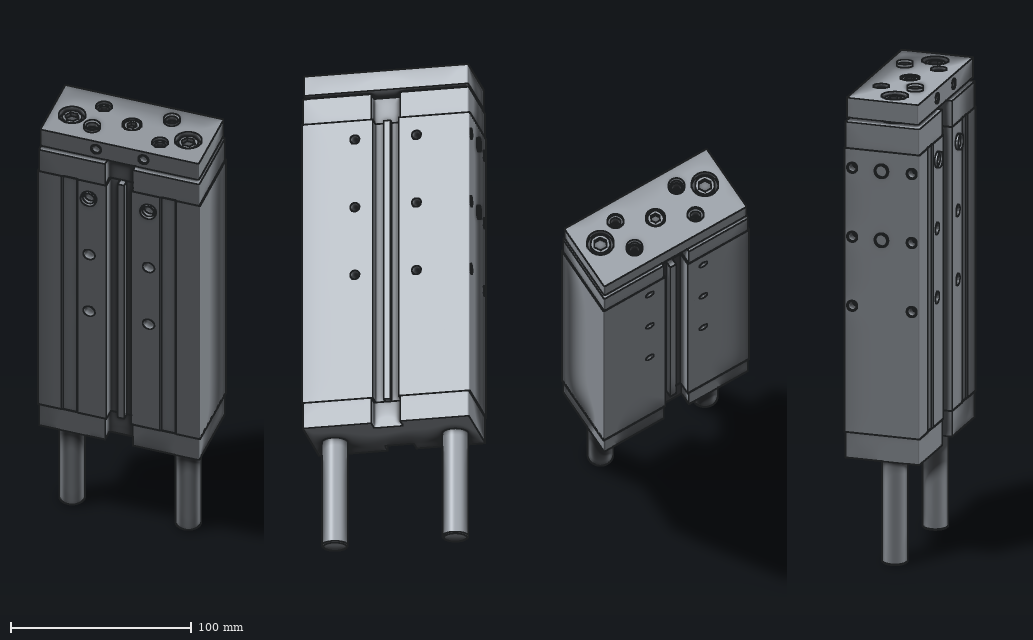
import cadquery as cq
import math

rod_tip_z = 0.0
lower_cap_z = 62.0
cap_height = 15.0
housing_length = 165.0
yoke_gap = 2.5
yoke_height = 11.5
yoke_sleeve_projection = 2.0
housing_bottom_z = lower_cap_z + cap_height
housing_top_z = housing_bottom_z + housing_length
cap_top_z = housing_top_z + cap_height
yoke_bottom_z = cap_top_z + yoke_gap
yoke_top_z = yoke_bottom_z + yoke_height

housing_width = 95.2
housing_depth = 44.2
housing_edge_radius = 0.5
channel_width = 14.7
channel_depth = 7.6
channel_corner_radius = 0.8
rib_width = 3.8
rib_height = 4.0
groove_center_x = 29.0
groove_mouth_width = 9.5
groove_floor_width = 8.0
groove_depth = 0.8

cap_width = 94.0
cap_depth = 43.6
cap_channel_width = 16.5
cap_channel_depth = 7.6
cap_channel_corner_radius = 0.8
cap_edge_radius = 0.8

yoke_width = 93.0
yoke_depth = 42.0
yoke_edge_radius = 0.8

guide_spacing = 68.2
guide_y = -3.0
guide_diameter = 14.5
guide_tip_chamfer = 0.8
piston_diameter = 10.0
piston_foot_z = housing_top_z

guide_seat_diameter = 15.0
guide_seat_depth = 4.0
guide_head_diameter = 11.0
guide_head_height = 2.7
guide_socket_flats = 6.8
piston_seat_diameter = 11.0
piston_seat_depth = 1.6
piston_head_diameter = 9.0
piston_head_height = 1.0
piston_socket_flats = 5.0
socket_depth = 2.5

front_sleeve_projection = 1.6
sleeve_outer_diameter = 9.0
sleeve_inner_diameter = 6.8
sleeve_wall = (sleeve_outer_diameter - sleeve_inner_diameter) / 2
sleeve_seat_depth = 2.2
thread_depth = 8.2
housing_thread_diameter = 6.8
housing_core_diameter = 5.2
yoke_thread_diameter = 6.0
yoke_core_diameter = 5.0
front_hole_spacing = 35.0
yoke_hole_spacing_x = 39.8
yoke_hole_spacing_y = 20.0

top_row_z = 230.8
row_pitch = 40.0
row_heights = [top_row_z - row * row_pitch for row in range(3)]

side_hole_spacing = 35.0
yoke_front_hole_spacing = 27.8
blind_mouth_diameter = 6.0
blind_core_diameter = 5.0
blind_mouth_depth = 0.5
blind_depth = 8.2
drill_point_angle = 118.0

plug_diameter = 8.0
plug_projection = 1.0
plug_insertion = 4.0
plug_socket_diameter = 6.8
plug_socket_depth = 0.8

X_AXIS = cq.Vector(1, 0, 0)
Y_AXIS = cq.Vector(0, 1, 0)
UP = cq.Vector(0, 0, 1)
DOWN = -UP


def rod(start, direction, diameter, length):
    """Cylinder that runs from a start point along a direction."""
    return cq.Workplane(obj=cq.Solid.makeCylinder(diameter / 2, length, cq.Vector(*start), direction))


def blind_hole(start, direction):
    """Cutter for a drilled hole with a wider mouth and a conical end."""
    mouth = rod(start, direction, blind_mouth_diameter, blind_mouth_depth)
    core = rod(start, direction, blind_core_diameter, blind_depth)
    core_radius = blind_core_diameter / 2
    point_length = core_radius / math.tan(math.radians(drill_point_angle / 2))
    point_start = cq.Vector(*start) + direction * blind_depth
    point = cq.Solid.makeCone(core_radius, 0, point_length, point_start, direction)
    return mouth.union(core).union(cq.Workplane(obj=point))


def block(width, depth, bottom_z, height):
    """Box centred on the Z axis."""
    return (
        cq.Workplane("XY", origin=(0, 0, bottom_z))
        .box(width, depth, height, centered=(True, True, False))
    )


def face_block(width, reach, face_y, bottom_z, height):
    """Block centred on a face, so that it reaches equally far to both sides of it."""
    return block(width, 2 * reach, bottom_z, height).translate((0, face_y, 0))


def channel_cutter(width, depth, corner_radius, face_y, bottom_z, height):
    """Upright channel cutter with rounded floor corners."""
    cutter = face_block(width, depth, face_y, bottom_z, height)
    return cutter.edges("|Z").fillet(corner_radius)


def groove_cutter(center_x):
    """Cutter for a shallow front groove with sloping walls."""
    front_y = -housing_depth / 2
    floor_y = front_y + groove_depth
    return (
        cq.Workplane("XY", origin=(center_x, 0, housing_bottom_z))
        .moveTo(-groove_mouth_width / 2, front_y)
        .lineTo(groove_mouth_width / 2, front_y)
        .lineTo(groove_floor_width / 2, floor_y)
        .lineTo(-groove_floor_width / 2, floor_y)
        .close()
        .extrude(housing_length)
    )


def make_housing():
    front_y = -housing_depth / 2
    body = block(housing_width, housing_depth, housing_bottom_z, housing_length)
    body = body.edges("|Z").fillet(housing_edge_radius)

    for side in (-1, 1):
        channel = channel_cutter(channel_width, channel_depth, channel_corner_radius,
                                 side * housing_depth / 2, housing_bottom_z, housing_length)
        rib_y = side * (housing_depth / 2 - channel_depth)
        rib = face_block(rib_width, rib_height, rib_y, housing_bottom_z, housing_length)
        body = body.cut(channel.cut(rib))

    for center_x in (-groove_center_x, groove_center_x):
        body = body.cut(groove_cutter(center_x))

    for x in (-front_hole_spacing / 2, front_hole_spacing / 2):
        for z in row_heights:
            body = body.cut(rod((x, front_y, z), Y_AXIS, housing_core_diameter, housing_depth))
            body = body.cut(rod((x, front_y, z), Y_AXIS, housing_thread_diameter, thread_depth))
        body = body.cut(rod((x, front_y, top_row_z), Y_AXIS, sleeve_outer_diameter, sleeve_seat_depth))

    side_x = -housing_width / 2
    for z in row_heights:
        for y in (-side_hole_spacing / 2, side_hole_spacing / 2):
            body = body.cut(blind_hole((side_x, y, z), X_AXIS))
    for z in row_heights[:2]:
        body = body.cut(rod((side_x, 0, z), X_AXIS, plug_diameter, plug_insertion))

    return body.cut(rod_clearance())


def rod_clearance():
    """Cutter for the bores in which the guide rods and the piston rod run."""
    return guide_rods().union(piston_rod())


def guide_rods():
    length = yoke_bottom_z - rod_tip_z
    centers = [(-guide_spacing / 2, guide_y), (guide_spacing / 2, guide_y)]
    return (
        cq.Workplane("XY", origin=(0, 0, rod_tip_z))
        .pushPoints(centers)
        .circle(guide_diameter / 2)
        .extrude(length)
        .faces("<Z")
        .edges()
        .chamfer(guide_tip_chamfer)
    )


def piston_rod():
    length = yoke_bottom_z - piston_foot_z
    return rod((0, 0, piston_foot_z), UP, piston_diameter, length)


def make_cap(bottom_z):
    cap = block(cap_width, cap_depth, bottom_z, cap_height).edges("|Z").fillet(cap_edge_radius)
    for side in (-1, 1):
        cap = cap.cut(channel_cutter(cap_channel_width, cap_channel_depth, cap_channel_corner_radius,
                                     side * cap_depth / 2, bottom_z, cap_height))
    return cap.cut(rod_clearance())


def seat_with_screw(center, seat_diameter, seat_depth, head_diameter, head_height, socket_flats):
    """Cutter for a round seat that leaves a socket screw head standing in it."""
    x, y = center
    floor_z = yoke_top_z - seat_depth
    seat = rod((x, y, yoke_top_z), DOWN, seat_diameter, seat_depth)
    head = rod((x, y, floor_z), UP, head_diameter, head_height)
    socket_across_corners = socket_flats / math.cos(math.radians(30))
    socket = (
        cq.Workplane("XY", origin=(x, y, floor_z + head_height - socket_depth))
        .polygon(6, socket_across_corners)
        .extrude(socket_depth)
    )
    return seat.cut(head).union(socket)


def make_carriage():
    """Yoke plate with the guide rods and the piston rod fixed to it."""
    yoke = block(yoke_width, yoke_depth, yoke_bottom_z, yoke_height)
    yoke = yoke.edges("|Z").fillet(yoke_edge_radius)

    for x in (-yoke_hole_spacing_x / 2, yoke_hole_spacing_x / 2):
        for y in (-yoke_hole_spacing_y / 2, yoke_hole_spacing_y / 2):
            yoke = yoke.cut(rod((x, y, yoke_top_z), DOWN, yoke_core_diameter, yoke_height))
            yoke = yoke.cut(rod((x, y, yoke_top_z), DOWN, yoke_thread_diameter, thread_depth))
            yoke = yoke.cut(rod((x, y, yoke_top_z), DOWN, sleeve_outer_diameter, sleeve_seat_depth))

    front_z = yoke_bottom_z + yoke_height / 2
    for x in (-yoke_front_hole_spacing / 2, yoke_front_hole_spacing / 2):
        yoke = yoke.cut(blind_hole((x, -yoke_depth / 2, front_z), Y_AXIS))

    for x in (-guide_spacing / 2, guide_spacing / 2):
        yoke = yoke.cut(seat_with_screw((x, guide_y), guide_seat_diameter, guide_seat_depth,
                                        guide_head_diameter, guide_head_height, guide_socket_flats))
    yoke = yoke.cut(seat_with_screw((0, 0), piston_seat_diameter, piston_seat_depth,
                                    piston_head_diameter, piston_head_height, piston_socket_flats))

    return yoke.union(guide_rods()).union(piston_rod())


def make_sleeve(seat_center, outward, projection):
    """Centring sleeve that stands out from its seat, its mouth flared through the whole wall."""
    length = sleeve_seat_depth + projection
    start = cq.Vector(*seat_center) - outward * sleeve_seat_depth
    outer = rod(start.toTuple(), outward, sleeve_outer_diameter, length)
    bore = rod(start.toTuple(), outward, sleeve_inner_diameter, length)
    flare = cq.Solid.makeCone(sleeve_inner_diameter / 2, sleeve_outer_diameter / 2, sleeve_wall,
                              start + outward * (length - sleeve_wall), outward)
    return outer.cut(bore).cut(cq.Workplane(obj=flare))


def make_plug(z):
    """Port plug with a round socket."""
    outer_x = -housing_width / 2 - plug_projection
    plug = rod((outer_x, 0, z), X_AXIS, plug_diameter, plug_projection + plug_insertion)
    return plug.cut(rod((outer_x, 0, z), X_AXIS, plug_socket_diameter, plug_socket_depth))


housing = make_housing()
caps = [make_cap(z) for z in (lower_cap_z, housing_top_z)]
carriage = make_carriage()
yoke_sleeves = [
    make_sleeve((side * yoke_hole_spacing_x / 2, side * yoke_hole_spacing_y / 2, yoke_top_z),
                UP, yoke_sleeve_projection)
    for side in (-1, 1)
]
front_sleeves = [
    make_sleeve((side * front_hole_spacing / 2, -housing_depth / 2, top_row_z),
                -Y_AXIS, front_sleeve_projection)
    for side in (-1, 1)
]
plugs = [make_plug(z) for z in row_heights[:2]]

bodies = [housing, *caps, carriage, *yoke_sleeves, *front_sleeves, *plugs]
result = cq.Compound.makeCompound([body.val() for body in bodies])